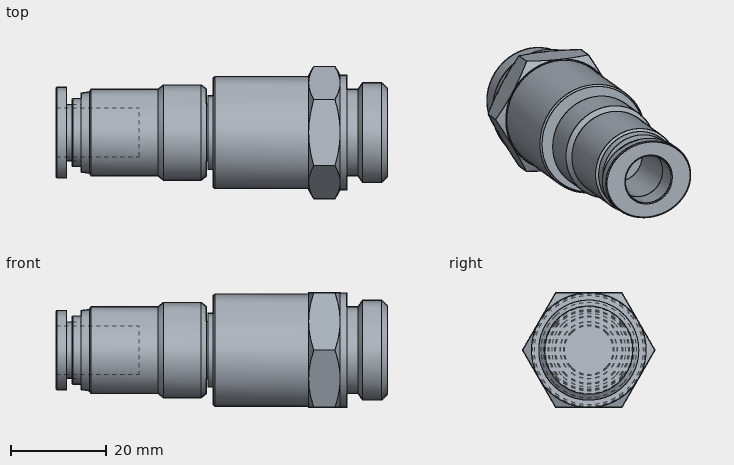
import cadquery as cq
import math


flange_width = 19.0
flange_height = 16.65
flange_thickness = 2.2
flange_chamfer = 0.2
tube_diameter = 11.9
ring_length = 5.2
bore_diameter = 10.2
bore_chamfer = 0.2

nose_start = 3.3
nose_diameter = 14.3
nose_chamfer = 0.2
lip_start = 5.3
lip_front_diameter = 16.6
lip_back_diameter = 17.1
lip_end = 7.0
barrel_start = 7.35
barrel_diameter = 18.2
barrel_end = 21.4
collar_start = 22.5
collar_diameter = 20.0
sleeve_shoulder = 31.5
collar_chamfer_length = 1.1
collar_chamfer_depth = 0.9
spigot_diameter = 12.0
socket_depth = 17.35

boss_start = 31.8
boss_diameter = 15.5
body_start = 32.9
body_diameter = 23.5
body_chamfer = 0.35
hex_start = 52.9
hex_end = 59.5
hex_across_flats = 24.0
hex_chamfer_angle = 30.0
seat_end = 60.85
neck_diameter = 18.2
neck_end = 63.2
end_collar_start = 64.2
end_collar_diameter = 20.95
end_chamfer = 1.25
total_length = 69.4


def revolve_profile(points):
    """Revolve an outline of (station, radius) points about the X axis."""
    return cq.Workplane("XY").polyline(points).close().revolve(360, (0, 0, 0), (1, 0, 0))


def cylinder(start, end, diameter):
    """Round bar along X between two stations."""
    return cq.Workplane("YZ", origin=(start, 0, 0)).circle(diameter / 2).extrude(end - start)


def make_release_ring():
    flange = cq.Workplane("YZ").ellipse(flange_width / 2, flange_height / 2).extrude(flange_thickness)
    flange = flange.faces("<X").chamfer(flange_chamfer)
    ring = flange.union(cylinder(flange_thickness, ring_length, tube_diameter))
    ring = ring.cut(cylinder(0, ring_length, bore_diameter))
    return ring.faces("<X").edges("%CIRCLE").chamfer(bore_chamfer)


def make_sleeve():
    nose_radius = nose_diameter / 2
    collar_radius = collar_diameter / 2
    sleeve = revolve_profile([
        (nose_start, 0),
        (nose_start, nose_radius - nose_chamfer),
        (nose_start + nose_chamfer, nose_radius),
        (lip_start, nose_radius),
        (lip_start, lip_front_diameter / 2),
        (lip_end, lip_back_diameter / 2),
        (barrel_start, barrel_diameter / 2),
        (barrel_end, barrel_diameter / 2),
        (collar_start, collar_radius),
        (sleeve_shoulder - collar_chamfer_length, collar_radius),
        (sleeve_shoulder, collar_radius - collar_chamfer_depth),
        (sleeve_shoulder, spigot_diameter / 2),
        (boss_start, spigot_diameter / 2),
        (boss_start, 0),
    ])
    ring_recess = cylinder(nose_start, ring_length, tube_diameter)
    tube_socket = cylinder(nose_start, socket_depth, bore_diameter)
    return sleeve.cut(ring_recess).cut(tube_socket)


def make_hexagon():
    """Hexagon with corners on +Y and -Y, its corners turned off conically at both ends."""
    corner_radius = hex_across_flats / math.sqrt(3)
    flat_radius = hex_across_flats / 2
    chamfer_length = (corner_radius - flat_radius) * math.tan(math.radians(hex_chamfer_angle))
    prism = (
        cq.Workplane("YZ", origin=(hex_start, 0, 0))
        .polygon(6, 2 * corner_radius)
        .extrude(hex_end - hex_start)
    )
    envelope = revolve_profile([
        (hex_start, 0),
        (hex_start, flat_radius),
        (hex_start + chamfer_length, corner_radius),
        (hex_end - chamfer_length, corner_radius),
        (hex_end, flat_radius),
        (hex_end, 0),
    ])
    return prism.intersect(envelope)


def make_housing():
    body_radius = body_diameter / 2
    end_collar_radius = end_collar_diameter / 2
    front = revolve_profile([
        (boss_start, 0),
        (boss_start, boss_diameter / 2),
        (body_start, boss_diameter / 2),
        (body_start, body_radius - body_chamfer),
        (body_start + body_chamfer, body_radius),
        (hex_start, body_radius),
        (hex_start, 0),
    ])
    back = revolve_profile([
        (hex_end, 0),
        (hex_end, hex_across_flats / 2),
        (seat_end, hex_across_flats / 2),
        (seat_end, neck_diameter / 2),
        (neck_end, neck_diameter / 2),
        (end_collar_start, end_collar_radius),
        (total_length - end_chamfer, end_collar_radius),
        (total_length, end_collar_radius - end_chamfer),
        (total_length, 0),
    ])
    return front.union(make_hexagon()).union(back)


release_ring = make_release_ring().solids()
sleeve = make_sleeve().solids()
housing = make_housing().solids()

result = cq.Compound.makeCompound([release_ring.val(), sleeve.val(), housing.val()])